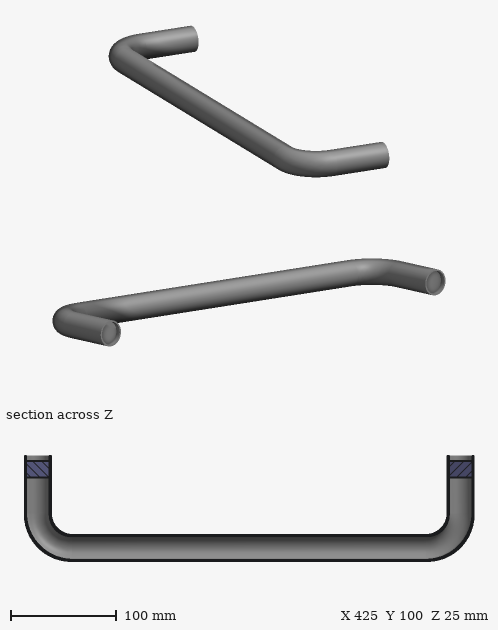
import cadquery as cq

tube_diameter = 25.0
wall_thickness = 1.5
mounting_spacing = 400.0
handle_depth = 100.0
bend_radius = 32.5
insert_length = 16.0
insert_recess = 5.0

tube_radius = tube_diameter / 2
bore_radius = tube_radius - wall_thickness
leg_x = mounting_spacing / 2
leg_end_y = handle_depth - tube_radius


def make_handle():
    """Round tube bent into a U, open at both leg ends."""
    tube_axis = (
        cq.Workplane("XY")
        .moveTo(-leg_x, leg_end_y)
        .lineTo(-leg_x, bend_radius)
        .radiusArc((-leg_x + bend_radius, 0), -bend_radius)
        .lineTo(leg_x - bend_radius, 0)
        .radiusArc((leg_x, bend_radius), -bend_radius)
        .lineTo(leg_x, leg_end_y)
    )
    return (
        cq.Workplane("XZ", origin=(-leg_x, leg_end_y, 0))
        .circle(tube_radius)
        .circle(bore_radius)
        .sweep(tube_axis)
    )


def make_insert(x):
    """Plain round plug that fills the tube bore just inside a leg end."""
    return (
        cq.Workplane("XZ", origin=(x, leg_end_y - insert_recess, 0))
        .circle(bore_radius)
        .extrude(insert_length)
    )


handle = make_handle()
inserts = [make_insert(x) for x in (-leg_x, leg_x)]

result = cq.Compound.makeCompound([handle.val(), *[insert.val() for insert in inserts]])